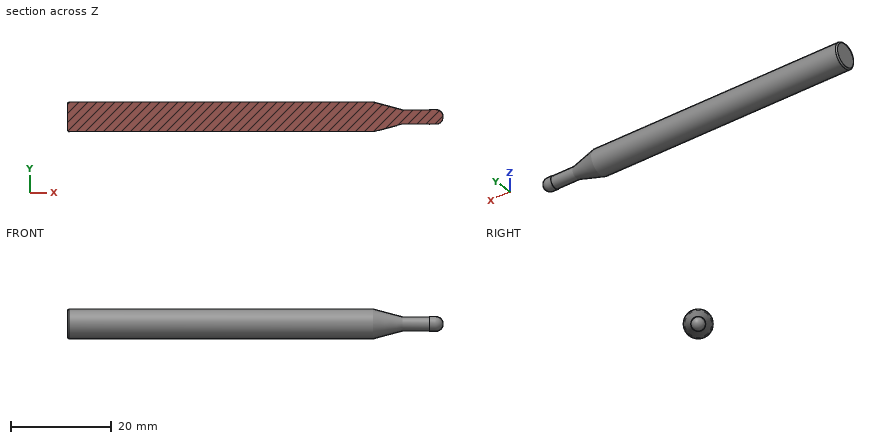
import cadquery as cq
import math

total_length = 75.0
shank_radius = 3.0
shank_chamfer = 0.3
ball_radius = 1.5
neck_radius = 1.4

taper_start = 61.05
neck_start = 66.9
head_start = 72.3
ball_center = total_length - ball_radius

arc_offset = ball_radius * math.sqrt(0.5)

half_profile = (
    cq.Workplane("XY")
    .moveTo(0, 0)
    .lineTo(0, shank_radius - shank_chamfer)
    .lineTo(shank_chamfer, shank_radius)
    .lineTo(taper_start, shank_radius)
    .lineTo(neck_start, neck_radius)
    .lineTo(head_start, neck_radius)
    .lineTo(head_start, ball_radius)
    .lineTo(ball_center, ball_radius)
    .threePointArc((ball_center + arc_offset, arc_offset), (total_length, 0))
    .close()
)

result = half_profile.revolve(360, (0, 0, 0), (1, 0, 0))